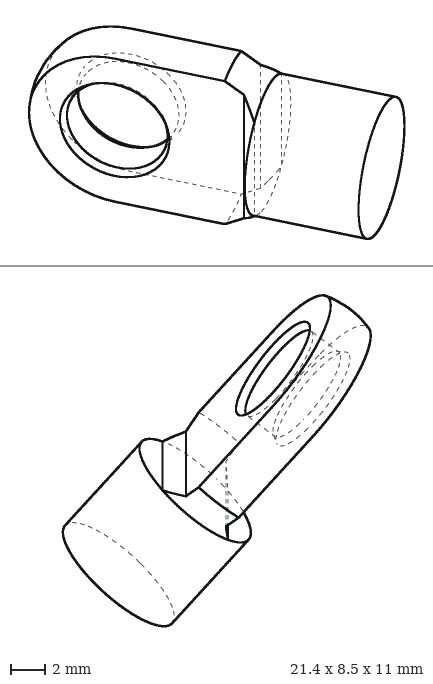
import cadquery as cq

total_length = 21.45
head_diameter = 11.0
shank_diameter = 8.5
shank_length = 7.02
taper_length = 2.15
plate_thickness = 3.05
flare_size = 0.97
eye_diameter = 6.2
eye_chamfer_width = 0.28
eye_chamfer_depth = 0.47

head_radius = head_diameter / 2
shank_radius = shank_diameter / 2
shank_end = total_length - head_radius
shoulder = shank_end - shank_length
taper_start = shoulder - taper_length
flare_start = shoulder - flare_size
half_plate = plate_thickness / 2
half_flare = half_plate + flare_size


def make_turned_body():
    """Ball end, straight head, taper and shank turned about the X axis."""
    arc_offset = head_radius * 0.5 ** 0.5
    profile = (
        cq.Workplane("XY")
        .moveTo(-head_radius, 0)
        .threePointArc((-arc_offset, arc_offset), (0, head_radius))
        .lineTo(taper_start, head_radius)
        .lineTo(shoulder, shank_radius)
        .lineTo(shank_end, shank_radius)
        .lineTo(shank_end, 0)
        .close()
    )
    return profile.revolve(360, (0, 0, 0), (1, 0, 0))


def make_plate_envelope():
    """Flat plate that flares at 45 degrees, then widens to the full shank."""
    outline = [
        (-head_radius, half_plate),
        (flare_start, half_plate),
        (shoulder, half_flare),
        (shoulder, shank_radius),
        (shank_end, shank_radius),
    ]
    mirrored = [(x, -y) for x, y in reversed(outline)]
    return (
        cq.Workplane("XY")
        .polyline(outline + mirrored)
        .close()
        .extrude(head_radius, both=True)
    )


def make_eye_cutter():
    """Through hole along Y, chamfered where it meets both plate faces."""
    eye_radius = eye_diameter / 2
    mouth_radius = eye_radius + eye_chamfer_width
    chamfer_start = half_plate - eye_chamfer_depth
    profile = [
        (0, -half_plate),
        (mouth_radius, -half_plate),
        (eye_radius, -chamfer_start),
        (eye_radius, chamfer_start),
        (mouth_radius, half_plate),
        (0, half_plate),
    ]
    return cq.Workplane("XY").polyline(profile).close().revolve(360, (0, 0, 0), (0, 1, 0))


result = make_turned_body().intersect(make_plate_envelope()).cut(make_eye_cutter())